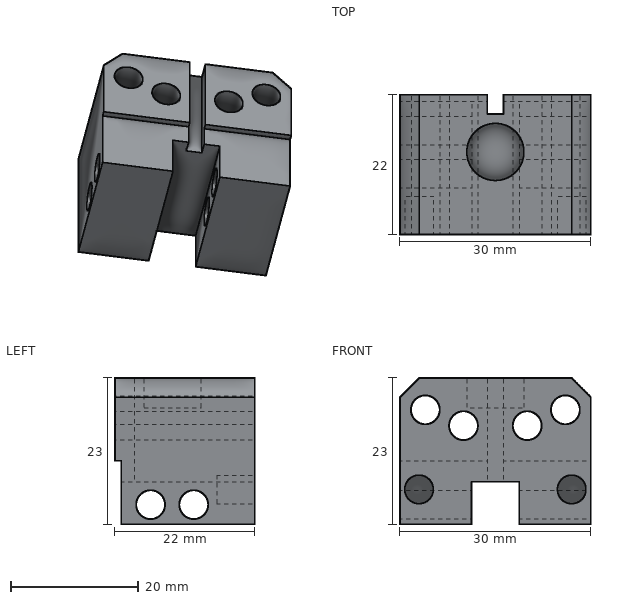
import cadquery as cq

width = 30.0
depth = 22.0
height = 23.0
top_chamfer = 3.0
front = -depth / 2
back = depth / 2

relief_depth = 1.0
relief_height = 10.0

channel_width = 7.5
channel_height = 6.65
slot_width = 2.5
slot_depth = 3.0

bore_diameter = 4.5
outer_bore_x = 11.0
outer_bore_z = 18.0
inner_bore_x = 5.0
inner_bore_z = 15.5
blind_bore_x = 12.0
blind_bore_z = 5.5
blind_bore_depth = 6.0
cross_bore_z = 3.1
cross_bore_setbacks = (9.6, 16.38)

pocket_diameter = 9.0
pocket_setback = 9.0
pocket_depth = 4.7


def box(x_size, y_size, z_size, y_start):
    """Box centred on X, standing on the base and starting at y_start."""
    return cq.Workplane("XY").box(x_size, y_size, z_size, centered=(True, False, False)).translate(
        (0, y_start, 0)
    )


def front_bores(x, z, length):
    """Mirrored pair of bores entering the front face."""
    return (
        cq.Workplane("XZ", origin=(0, front, 0))
        .pushPoints([(-x, z), (x, z)])
        .circle(bore_diameter / 2)
        .extrude(-length)
    )


def cross_bore(setback):
    """Bore through the full width near the base."""
    return (
        cq.Workplane("YZ", origin=(-width / 2, 0, 0))
        .center(front + setback, cross_bore_z)
        .circle(bore_diameter / 2)
        .extrude(width)
    )


result = box(width, depth, height, front).edges(">Z and |Y").chamfer(top_chamfer)

result = result.cut(box(width, relief_depth, relief_height, back - relief_depth))
result = result.cut(box(channel_width, depth, channel_height, front))
result = result.cut(box(slot_width, slot_depth, height, back - slot_depth))

result = result.cut(front_bores(outer_bore_x, outer_bore_z, depth))
result = result.cut(front_bores(inner_bore_x, inner_bore_z, depth))
result = result.cut(front_bores(blind_bore_x, blind_bore_z, blind_bore_depth))
for setback in cross_bore_setbacks:
    result = result.cut(cross_bore(setback))

pocket = (
    cq.Workplane("XY", origin=(0, back - pocket_setback, height))
    .circle(pocket_diameter / 2)
    .extrude(-pocket_depth)
)
result = result.cut(pocket)